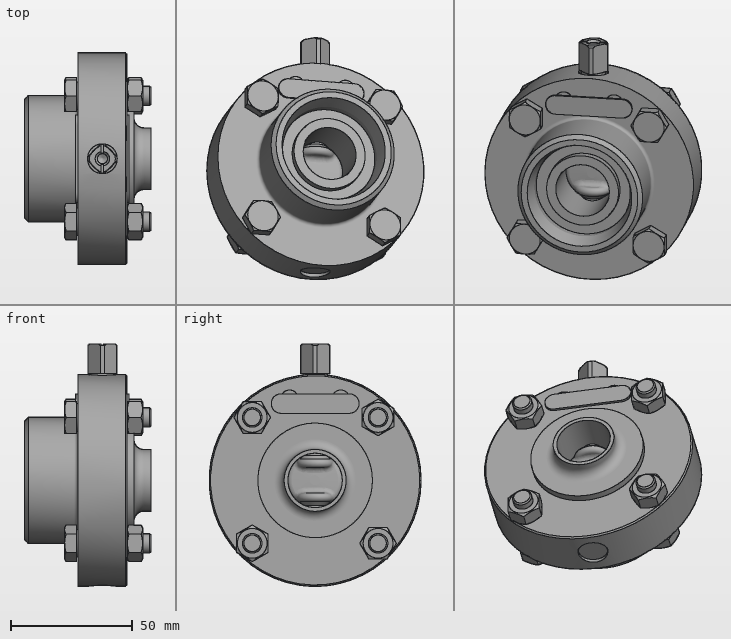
import cadquery as cq
import math


flange_dia = 87.0
flange_start = 22.0
flange_end = 42.0
flange_chamfer = 0.6
stem_x = (flange_start + flange_end) / 2

spigot_dia = 52.0
spigot_chamfer = 1.7
spigot_root_fillet = 1.4
mouth_dia = 43.6
socket_dia = 39.8
socket_taper_depth = 7.0
socket_depth = 10.4
sleeve_dia = 30.0
sleeve_start = socket_taper_depth
bore_dia = 22.3

collar_dia = 47.0
collar_end = 45.0
pipe_dia = 25.4
pipe_end = 52.0
pipe_fillet = 4.0

pad_length = 36.0
pad_height = 8.0
pad_thickness = 1.0
pad_z = 31.5
pad_hole_dia = 7.2
pad_hole_spacing = 21.0
pad_hole_z = 33.45
pad_hole_depth = 0.1

bolt_circle_dia = 73.0
bolt_count = 4
bolt_first_angle = 45.0
bolt_dia = 8.0
bolt_end_chamfer = 0.6
hex_turn = 45.0
hex_width = 13.0
hex_corner_dia = hex_width / math.cos(math.pi / 6)
hex_chamfer_angle = math.radians(30)
head_start = 16.5
head_end = 21.4
head_face_dia = 12.9
washer_face_dia = 11.4
nut_start = 42.3
nut_end = 48.7
nut_outer_face_dia = 12.2
nut_inner_face_dia = 13.0

stem_bore_dia = 12.2
stem_bore_depth = 1.5
neck_dia = 10.0
stem_head_dia = 12.0
stem_head_flats = 9.6
stem_head_turn = 45.0
stem_head_bottom = 43.8
stem_head_top = 56.0
stem_head_chamfer = 0.7
stem_hole_dia = 4.13
stem_hole_mouth_dia = 5.9
stem_hole_depth = 8.0
drill_point_angle = math.radians(59)
slot_width = 1.0
slot_depth = 0.5

disc_centre_flat_dia = 4.13
disc_centre_half_thickness = 3.0
disc_face_dia = 19.0
disc_face_half_thickness = 2.6
disc_rim_half_thickness = 0.9
disc_rim_radius = 2.45
disc_embed = 0.4
hub_dia = 15.8
hub_edge_radius = 1.8
hub_inner_z = 5.2
hub_shoulder_dia = 13.4
hub_neck_dia = 10.0
hub_neck_z = 10.3
hub_fillet = 2.1


def x_cylinder(diameter, start, end):
    """Cylinder on the pipe axis between two X positions."""
    return cq.Workplane("YZ", origin=(start, 0, 0)).circle(diameter / 2).extrude(end - start)


def z_cylinder(diameter, bottom, top):
    """Cylinder on the stem axis between two Z positions."""
    return cq.Workplane("XY", origin=(stem_x, 0, bottom)).circle(diameter / 2).extrude(top - bottom)


def revolve_about_x(profile):
    """Close a half outline and turn it about the pipe axis."""
    return profile.close().revolve(360, (0, 0, 0), (1, 0, 0))


def make_body():
    """Spigot, flange, collar and pipe end turned as one solid of revolution."""
    spigot_r = spigot_dia / 2
    flange_r = flange_dia / 2
    pipe_r = pipe_dia / 2
    arc_mid = math.sqrt(0.5)
    root_mid = (
        flange_start - spigot_root_fillet + spigot_root_fillet * arc_mid,
        spigot_r + spigot_root_fillet * (1 - arc_mid),
    )
    pipe_mid = (
        collar_end + pipe_fillet * (1 - arc_mid),
        pipe_r + pipe_fillet * (1 - arc_mid),
    )
    profile = (
        cq.Workplane("XY")
        .moveTo(0, 0)
        .lineTo(0, spigot_r - spigot_chamfer)
        .lineTo(spigot_chamfer, spigot_r)
        .lineTo(flange_start - spigot_root_fillet, spigot_r)
        .threePointArc(root_mid, (flange_start, spigot_r + spigot_root_fillet))
        .lineTo(flange_start, flange_r)
        .lineTo(flange_end - flange_chamfer, flange_r)
        .lineTo(flange_end, flange_r - flange_chamfer)
        .lineTo(flange_end, collar_dia / 2)
        .lineTo(collar_end, collar_dia / 2)
        .lineTo(collar_end, pipe_r + pipe_fillet)
        .threePointArc(pipe_mid, (collar_end + pipe_fillet, pipe_r))
        .lineTo(pipe_end, pipe_r)
        .lineTo(pipe_end, 0)
    )
    return revolve_about_x(profile)


def make_socket():
    """Tapered socket in the spigot, leaving a sleeve round the through bore."""
    profile = (
        cq.Workplane("XY")
        .moveTo(0, 0)
        .lineTo(0, mouth_dia / 2)
        .lineTo(socket_taper_depth, socket_dia / 2)
        .lineTo(socket_depth, socket_dia / 2)
        .lineTo(socket_depth, sleeve_dia / 2)
        .lineTo(sleeve_start, sleeve_dia / 2)
        .lineTo(sleeve_start, 0)
    )
    return revolve_about_x(profile)


def make_pads():
    """Obround label pads, one standing out of each flange face."""
    return (
        cq.Workplane("YZ", origin=(flange_start - pad_thickness, 0, pad_z))
        .slot2D(pad_length, pad_height)
        .extrude(flange_end - flange_start + 2 * pad_thickness)
    )


def make_pad_holes():
    """Shallow round recesses in both flange faces, partly covered by the pads."""
    holes = cq.Workplane()
    for start in (flange_start, flange_end - pad_hole_depth):
        pair = (
            cq.Workplane("YZ", origin=(start, 0, pad_hole_z))
            .pushPoints([(-pad_hole_spacing / 2, 0), (pad_hole_spacing / 2, 0)])
            .circle(pad_hole_dia / 2)
            .extrude(pad_hole_depth)
        )
        holes = holes.add(pair)
    return holes.combine()


def make_hexagon(start, end, start_face_dia, end_face_dia):
    """Hexagon prism on the X axis, corners bevelled to each face circle (sharp at corner diameter)."""
    corner_r = hex_corner_dia / 2
    start_bevel = (corner_r - start_face_dia / 2) * math.tan(hex_chamfer_angle)
    end_bevel = (corner_r - end_face_dia / 2) * math.tan(hex_chamfer_angle)
    envelope = (
        cq.Workplane("XY")
        .moveTo(start, 0)
        .lineTo(start, start_face_dia / 2)
        .lineTo(start + start_bevel, corner_r)
        .lineTo(end - end_bevel, corner_r)
    )
    if end_bevel > 0:
        envelope = envelope.lineTo(end, end_face_dia / 2)
    envelope = envelope.lineTo(end, 0)
    prism = cq.Workplane("YZ", origin=(start, 0, 0)).polygon(6, hex_corner_dia).extrude(end - start)
    return prism.intersect(revolve_about_x(envelope))


def make_bolt():
    """Hexagon bolt with its nut, on the X axis."""
    shank = x_cylinder(bolt_dia, head_start, pipe_end).faces(">X").chamfer(bolt_end_chamfer)
    head = make_hexagon(head_start, head_end, head_face_dia, hex_corner_dia)
    nut = make_hexagon(nut_start, nut_end, nut_inner_face_dia, nut_outer_face_dia)
    washer_faces = x_cylinder(washer_face_dia, head_end, nut_start)
    return shank.union(head).union(nut).union(washer_faces)


def make_stem_head():
    """Rounded-square stem head on a round neck, with a blind hole and a slot on top."""
    neck = z_cylinder(neck_dia, flange_dia / 2 - stem_bore_depth, stem_head_bottom)
    head = z_cylinder(stem_head_dia, stem_head_bottom, stem_head_top).faces(">Z").chamfer(stem_head_chamfer)
    square = (
        cq.Workplane("XY", origin=(stem_x, 0, stem_head_bottom))
        .transformed(rotate=(0, 0, stem_head_turn))
        .rect(stem_head_flats, stem_head_flats)
        .extrude(stem_head_top - stem_head_bottom)
    )
    hole_r = stem_hole_dia / 2
    mouth_r = stem_hole_mouth_dia / 2
    hole_bottom = stem_head_top - stem_hole_depth
    hole = (
        cq.Workplane("XZ", origin=(stem_x, 0, 0))
        .moveTo(0, stem_head_top)
        .lineTo(mouth_r, stem_head_top)
        .lineTo(hole_r, stem_head_top - (mouth_r - hole_r))
        .lineTo(hole_r, hole_bottom)
        .lineTo(0, hole_bottom - hole_r / math.tan(drill_point_angle))
        .close()
        .revolve(360, (0, 0, 0), (0, 1, 0))
    )
    slot = (
        cq.Workplane("XY", origin=(stem_x, 0, stem_head_top - slot_depth))
        .rect(slot_width, stem_head_dia)
        .extrude(slot_depth)
    )
    return head.intersect(square).union(neck).cut(hole).cut(slot)


def make_disc():
    """Closed valve disc: flat centre, shallow conical faces and a rounded rim."""
    face_r = disc_face_dia / 2
    rim_r = bore_dia / 2 + disc_embed
    half = (
        cq.Workplane("XY", origin=(stem_x, 0, 0))
        .moveTo(0, 0)
        .lineTo(-disc_centre_half_thickness, 0)
        .lineTo(-disc_centre_half_thickness, disc_centre_flat_dia / 2)
        .lineTo(-disc_face_half_thickness, face_r)
        .radiusArc((-disc_rim_half_thickness, rim_r), disc_rim_radius)
        .lineTo(0, rim_r)
    )
    half = revolve_about_x(half)
    return half.union(half.mirror("YZ", (stem_x, 0, 0)))


def make_hub():
    """Upper stem hub of the disc: a turned collar with a rounded lower edge."""
    edge_centre_r = hub_dia / 2 - hub_edge_radius
    edge_centre_z = hub_inner_z + hub_edge_radius
    hub_top = bore_dia / 2 + disc_embed
    shoulder_z = edge_centre_z + math.sqrt(hub_edge_radius**2 - (hub_shoulder_dia / 2 - edge_centre_r) ** 2)
    return (
        cq.Workplane("XZ", origin=(stem_x, 0, 0))
        .moveTo(0, hub_inner_z)
        .lineTo(edge_centre_r, hub_inner_z)
        .threePointArc((hub_dia / 2, edge_centre_z), (hub_shoulder_dia / 2, shoulder_z))
        .lineTo(hub_neck_dia / 2, hub_neck_z)
        .lineTo(hub_neck_dia / 2, hub_top)
        .lineTo(0, hub_top)
        .close()
        .revolve(360, (0, 0, 0), (0, 1, 0))
    )


def make_valve():
    """Disc with both stem hubs, blended where the hub undersides meet the disc faces."""
    hub = make_hub()
    valve = make_disc().union(hub).union(hub.mirror("XY"))
    corners = []
    for x_side in (-1, 1):
        for z_side in (-1, 1):
            point = (stem_x + x_side * disc_face_half_thickness, 0, z_side * hub_inner_z)
            corners += valve.edges(cq.selectors.NearestToPointSelector(point)).vals()
    return valve.newObject(corners).fillet(hub_fillet)


result = make_body().cut(make_socket()).cut(x_cylinder(bore_dia, 0, pipe_end))
result = result.cut(make_pad_holes()).union(make_pads())

rim_z = flange_dia / 2
result = result.cut(z_cylinder(stem_bore_dia, rim_z - stem_bore_depth, rim_z))
result = result.cut(z_cylinder(stem_bore_dia, -rim_z, stem_bore_depth - rim_z))
result = result.union(make_stem_head())

bolt = make_bolt().rotate((0, 0, 0), (1, 0, 0), hex_turn).translate((0, bolt_circle_dia / 2, 0))
for index in range(bolt_count):
    angle = bolt_first_angle + index * 360 / bolt_count
    result = result.union(bolt.rotate((0, 0, 0), (1, 0, 0), angle))

result = result.union(make_valve())